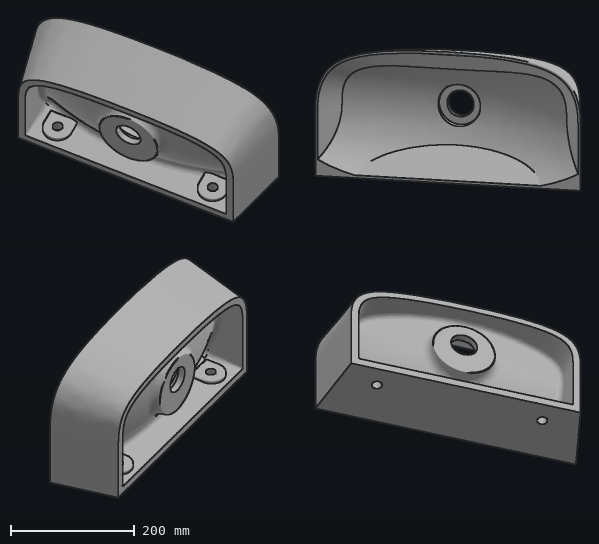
import cadquery as cq
import math

WIDTH = 439.69
HEIGHT = 219.72
DEPTH = 115.0
SHOULDER_Z = HEIGHT / 2
DRAFT = 13.0
RIM_ROUND = 1.0

RIM_ARCH = (1.313, 0.487)
FOOT_ARCH = (1.262, 0.709)
CAVITY_ARCH = (1.238, 0.778)

WALL = 12.5
FLOOR = 14.6
CAVITY_DRAFT = 3.0
CAVITY_REACH = 130.0
MOUTH_CORNER = 3.0
CORNER_GROWTH = 0.14
GROOVE_ROUND = 9.0

DOME_APEX_Y = 17.6
DOME_ARC_RADIUS = 138.0
DOME_SWING_RADIUS = 490.0
DOME_HALF_HEIGHT = 105.0

BOWL_THICKNESS = 12.0
RIM_LAND = 4.0
BOWL_SLOPE = 32.0
BOWL_REACH = 100.0

DRAIN_DIA = 44.0
DRAIN_RECESS_DIA = 70.0
BOSS_DIA = 105.0
BOSS_Z = 100.0
BOSS_FACE_Y = 10.0
BOSS_LENGTH = 40.0
BOSS_DRAFT = 10.0
BOSS_EDGE_ROUND = 1.0
BOSS_FOOT_ROUND = 16.0

PAD_X = 139.5
PAD_Y = 35.0
PAD_RADIUS = 24.5
PAD_TOP_Z = 21.0
PAD_BACK_Y = 60.0
PAD_EDGE_ROUND = 1.5
PAD_HOLE_DIA = 16.5


def tan_deg(angle):
    return math.tan(math.radians(angle))


def arch_outline(y, half_width, bottom_z, top_z, arch, corner=0.0):
    """D-shaped wire at depth y: flat base, straight sides, arched top, optional round base corners."""
    rise = top_z - SHOULDER_Z
    side_z = SHOULDER_Z + arch[0] * rise
    shoulder_x = arch[1] * half_width
    shoulder_z = SHOULDER_Z + (1.6 - arch[0] / 2) * rise

    def at(x, z):
        return cq.Vector(x, y, z)

    poles = [
        at(-half_width, SHOULDER_Z),
        at(-half_width, side_z),
        at(-shoulder_x, shoulder_z),
        at(shoulder_x, shoulder_z),
        at(half_width, side_z),
        at(half_width, SHOULDER_Z),
    ]
    crown = cq.Edge.makeBezier(poles)

    def side_line(side):
        return cq.Edge.makeLine(at(side * half_width, SHOULDER_Z), at(side * half_width, bottom_z + corner))

    def base_corner(side):
        shift = corner * (1 - math.sqrt(0.5))
        return cq.Edge.makeThreePointArc(
            at(side * half_width, bottom_z + corner),
            at(side * (half_width - shift), bottom_z + shift),
            at(side * (half_width - corner), bottom_z),
        )

    base = cq.Edge.makeLine(at(corner - half_width, bottom_z), at(half_width - corner, bottom_z))
    edges = [crown, side_line(1), side_line(-1), base]
    if corner > 0:
        edges += [base_corner(1), base_corner(-1)]
    return cq.Wire.assembleEdges(edges)


def tapered(first, second):
    return cq.Workplane(obj=cq.Solid.makeLoft([first, second], True))


def make_body():
    flare = DEPTH * tan_deg(DRAFT)
    trim = RIM_ROUND * (tan_deg(DRAFT) + 1 / math.cos(math.radians(DRAFT)) - 1)
    half_width = WIDTH / 2 + trim
    height = HEIGHT + trim
    foot = arch_outline(0, half_width - flare, 0, height - flare, FOOT_ARCH)
    rim = arch_outline(DEPTH, half_width, 0, height, RIM_ARCH)
    return tapered(foot, rim).faces(">Y").edges().fillet(RIM_ROUND)


def make_dome(offset=0.0):
    """Everything on the rim side of the dome surface, moved back along its normal by offset."""
    apex = DOME_APEX_Y + offset
    radius = DOME_ARC_RADIUS - offset
    axis_y = DOME_APEX_Y + DOME_SWING_RADIUS
    end_y = apex + radius - math.sqrt(radius**2 - DOME_HALF_HEIGHT**2)
    profile = (
        cq.Workplane("YZ", origin=(0, 0, SHOULDER_Z))
        .moveTo(axis_y, -DOME_HALF_HEIGHT)
        .lineTo(end_y, -DOME_HALF_HEIGHT)
        .threePointArc((apex, 0), (end_y, DOME_HALF_HEIGHT))
        .lineTo(axis_y, DOME_HALF_HEIGHT)
        .close()
    )
    return profile.revolve(360, (axis_y, 0), (axis_y, 1))


def make_cavity():
    inset = DEPTH * tan_deg(DRAFT) + WALL
    half_width = WIDTH / 2 - inset
    top = HEIGHT - inset
    shrink = CAVITY_REACH * tan_deg(CAVITY_DRAFT)
    end_corner = MOUTH_CORNER + CAVITY_REACH * CORNER_GROWTH
    mouth = arch_outline(0, half_width, FLOOR, top, CAVITY_ARCH, MOUTH_CORNER)
    end = arch_outline(CAVITY_REACH, half_width - shrink, FLOOR + shrink, top - shrink, CAVITY_ARCH, end_corner)
    cavity = tapered(mouth, end).cut(make_dome())
    return cavity.faces("%REVOLUTION or %TORUS").edges().fillet(GROOVE_ROUND)


def make_boss():
    root_radius = BOSS_DIA / 2 + BOSS_LENGTH * tan_deg(BOSS_DRAFT)
    return (
        cq.Workplane("XZ", origin=(0, BOSS_FACE_Y + BOSS_LENGTH, BOSS_Z))
        .circle(root_radius)
        .extrude(BOSS_LENGTH, taper=BOSS_DRAFT)
        .faces("<Y")
        .edges()
        .fillet(BOSS_EDGE_ROUND)
    )


def cut_boss(cavity):
    """Leave the drain boss standing in the cavity and blend its foot into the dome."""
    cavity = cavity.cut(make_boss())
    foot_min_y = BOSS_FACE_Y + 3 * BOSS_EDGE_ROUND
    foot_max_y = BOSS_FACE_Y + BOSS_LENGTH
    foot = []
    for edge in cavity.edges().vals():
        box = edge.BoundingBox()
        behind_face = box.ymin > foot_min_y and box.ymax < foot_max_y
        around_drain = abs(edge.Center().x) < BOSS_DIA / 2 and edge.Center().z > BOSS_Z / 2
        if behind_face and around_drain and box.xlen < 1.3 * BOSS_DIA:
            foot.append(edge)
    return cavity.newObject(foot).fillet(BOSS_FOOT_ROUND)


def make_pad(side):
    pad = (
        cq.Workplane("XY", origin=(side * PAD_X, 0, 0))
        .moveTo(-PAD_RADIUS, PAD_BACK_Y)
        .lineTo(-PAD_RADIUS, PAD_Y)
        .threePointArc((0, PAD_Y - PAD_RADIUS), (PAD_RADIUS, PAD_Y))
        .lineTo(PAD_RADIUS, PAD_BACK_Y)
        .close()
        .extrude(PAD_TOP_Z)
    )
    return pad.faces(">Z").edges().fillet(PAD_EDGE_ROUND)


def make_pad_hole(side):
    return cq.Workplane("XY").center(side * PAD_X, PAD_Y).circle(PAD_HOLE_DIA / 2).extrude(PAD_TOP_Z)


def make_bowl():
    shrink = BOWL_REACH * tan_deg(BOWL_SLOPE)
    half_width = WIDTH / 2 - RIM_LAND
    top = HEIGHT - RIM_LAND
    rim = arch_outline(DEPTH, half_width, RIM_LAND, top, RIM_ARCH)
    end = arch_outline(DEPTH - BOWL_REACH, half_width - shrink, RIM_LAND + shrink, top - shrink, RIM_ARCH)
    return tapered(rim, end).intersect(make_dome(BOWL_THICKNESS))


def cylinder_along_y(diameter, z, start_y, end_y):
    return cq.Workplane("XZ", origin=(0, end_y, z)).circle(diameter / 2).extrude(end_y - start_y)


cavity = cut_boss(make_cavity())
for side in (-1, 1):
    cavity = cavity.cut(make_pad(side))

result = make_body().cut(cavity).cut(make_bowl())
result = result.cut(cylinder_along_y(DRAIN_DIA, SHOULDER_Z, 0, DEPTH))
result = result.cut(cylinder_along_y(DRAIN_RECESS_DIA, SHOULDER_Z, BOSS_FACE_Y + BOWL_THICKNESS, DEPTH))
for side in (-1, 1):
    result = result.cut(make_pad_hole(side))